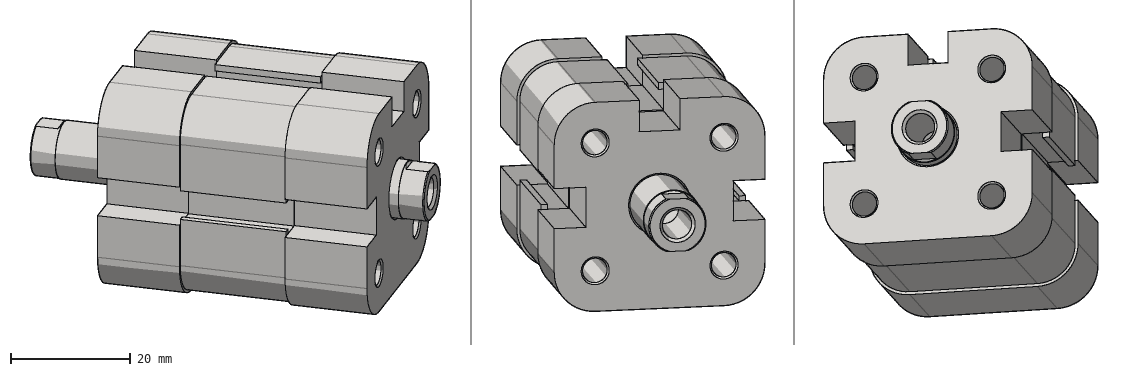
import cadquery as cq
import math


tube_length = 18.5
cap_length = 14.35
housing_length = tube_length + 2 * cap_length
overall_length = 69.0
rod_front_reach = 15.8

cap_width = 36.0
cap_corner_radius = 7.0
cap_slot_width = 6.9
cap_slot_floor = 12.6

tube_inset = 0.5
tube_width = cap_width - 2 * tube_inset
tube_corner_radius = cap_corner_radius - tube_inset
tube_slot_floor = 12.8
lip_height = 1.15
lip_overhang = 0.85

screw_offset = cap_width / 2 - cap_corner_radius
screw_hole_diameter = 4.2
screw_hole_chamfer = 0.3

rod_diameter = 10.0
rod_bore_chamfer = 0.3
neck_diameter = 9.8
neck_length = 4.45
flat_length = 4.0
across_flats = 9.0
end_chamfer = 0.2

tap_diameter = 5.0
tap_depth = 12.0
tap_chamfer = 0.5
drill_point_angle = 118.0

cap_outer_face = housing_length / 2
rod_front = -cap_outer_face - rod_front_reach
rod_rear = rod_front + overall_length

slot_angles = (0, 90, -90)


def square_bar(width, corner_radius, length):
    """Square bar along X with rounded edges, centred on the origin."""
    return cq.Workplane("XY").box(length, width, width).edges("|X").fillet(corner_radius)


def slot_cutter(width, bottom, top, length):
    """Blocks along X that cut one band of all three slots between two distances from the axis."""
    block = cq.Workplane("XY").box(length, width, top - bottom).translate((0, 0, (top + bottom) / 2))
    cutter = cq.Workplane("XY")
    for angle in slot_angles:
        cutter = cutter.add(block.rotate((0, 0, 0), (1, 0, 0), angle))
    return cutter.combine()


def cut_holes(body, length):
    """Cut the rod bore and the four screw holes through a housing part."""
    holes = (
        cq.Workplane("YZ", origin=(-length / 2, 0, 0))
        .rect(2 * screw_offset, 2 * screw_offset, forConstruction=True)
        .vertices()
        .circle(screw_hole_diameter / 2)
        .extrude(length)
    )
    bore = cq.Workplane("YZ", origin=(-length / 2, 0, 0)).circle(rod_diameter / 2).extrude(length)
    return body.cut(holes).cut(bore)


def hole_rims(body, diameter):
    """Rim edges of the holes of one diameter on the -X face."""
    rims = body.faces("<X").edges("%CIRCLE")
    return rims.filter(lambda edge: math.isclose(edge.radius(), diameter / 2))


def make_cap():
    """End cap centred on the origin, its outer face towards -X."""
    cap = square_bar(cap_width, cap_corner_radius, cap_length)
    cap = cap.cut(slot_cutter(cap_slot_width, cap_slot_floor, cap_width / 2, cap_length))
    cap = cut_holes(cap, cap_length)
    cap = hole_rims(cap, screw_hole_diameter).chamfer(screw_hole_chamfer)
    return hole_rims(cap, rod_diameter).chamfer(rod_bore_chamfer)


def make_tube():
    """Profile tube between the caps, with overhanging lips at the slot mouths."""
    lip_bottom = tube_width / 2 - lip_height
    mouth_width = cap_slot_width - 2 * lip_overhang
    tube = square_bar(tube_width, tube_corner_radius, tube_length)
    tube = tube.cut(slot_cutter(cap_slot_width, tube_slot_floor, lip_bottom, tube_length))
    tube = tube.cut(slot_cutter(mouth_width, tube_slot_floor, tube_width / 2, tube_length))
    return cut_holes(tube, tube_length)


def flat_cutter():
    """Wedges that cut both wrench flats at an end at x = 0, running out at 45 degrees."""
    flat_height = across_flats / 2
    clear_height = rod_diameter / 2
    runout = neck_diameter / 2 - flat_height
    upper = (
        cq.Workplane("XZ")
        .polyline([
            (0, flat_height),
            (flat_length, flat_height),
            (flat_length + runout, flat_height + runout),
            (flat_length + runout, clear_height),
            (0, clear_height),
        ])
        .close()
        .extrude(rod_diameter / 2, both=True)
    )
    return upper.add(upper.mirror("XY")).combine()


def tap_cutter():
    """Blind hole with a conical bottom and a chamfered mouth, entering at x = 0."""
    radius = tap_diameter / 2
    point_length = radius / math.tan(math.radians(drill_point_angle / 2))
    return (
        cq.Workplane("XY")
        .polyline([
            (0, 0),
            (0, radius + tap_chamfer),
            (tap_chamfer, radius),
            (tap_depth, radius),
            (tap_depth + point_length, 0),
        ])
        .close()
        .revolve(360, (0, 0, 0), (1, 0, 0))
    )


def make_rod():
    """Rod passing through the whole housing."""
    shoulder_length = overall_length - 2 * neck_length
    rod = (
        cq.Workplane("YZ", origin=(rod_front, 0, 0))
        .circle(neck_diameter / 2)
        .extrude(overall_length)
        .faces("|X")
        .chamfer(end_chamfer)
    )
    shaft = (
        cq.Workplane("YZ", origin=(rod_front + neck_length, 0, 0))
        .circle(rod_diameter / 2)
        .extrude(shoulder_length)
    )
    rod = rod.union(shaft)
    for cutter in (flat_cutter(), tap_cutter()):
        rod = rod.cut(cutter.translate((rod_front, 0, 0)))
        rod = rod.cut(cutter.mirror("YZ").translate((rod_rear, 0, 0)))
    return rod


cap_centre = (tube_length + cap_length) / 2
front_cap = make_cap().translate((-cap_centre, 0, 0))
rear_cap = front_cap.mirror("YZ")
tube = make_tube()
rod = make_rod()

result = cq.Compound.makeCompound([
    front_cap.solids().val(),
    tube.solids().val(),
    rear_cap.solids().val(),
    rod.solids().val(),
])